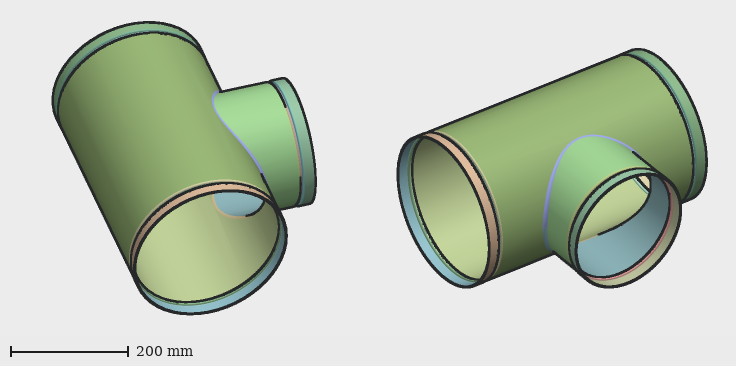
import cadquery as cq
import math


wall = 2.05

main_length = 451.0
main_lip_diameter = 273.0
main_body_diameter = 272.0
main_groove_diameter = 265.2

overall_depth = 362.2
branch_lip_diameter = 219.2
branch_body_diameter = 217.5
branch_groove_diameter = 211.0
branch_reach = overall_depth - main_lip_diameter / 2

lip_length = 18.5
groove_end = 29.0
tight_bend = 1.0
wide_bend = tight_bend + wall

outer_blend = 6.0
inner_blend = outer_blend + wall


def groove_side(drop, shoulder_bend, floor_bend):
    """Shape of one groove side, made of a shoulder bend flowing into a floor bend.

    Returns its length along the pipe, and how far the point where the bends
    meet lies along the pipe from the shoulder and below it.
    """
    both_bends = shoulder_bend + floor_bend
    sweep = math.acos(1 - drop / both_bends)
    meet_along = shoulder_bend * math.sin(sweep)
    meet_below = shoulder_bend * (1 - math.cos(sweep))
    return both_bends * math.sin(sweep), meet_along, meet_below


def pipe_skin(length, diameters, depth, shoulder_bend, floor_bend):
    """Solid along +X inside the pipe skin lying `depth` below the outside, open end at x = 0."""
    lip_radius, groove_radius, body_radius = [diameter / 2 - depth for diameter in diameters]
    front_length, front_along, front_below = groove_side(
        lip_radius - groove_radius, shoulder_bend, floor_bend
    )
    back_length, back_along, back_below = groove_side(
        body_radius - groove_radius, shoulder_bend, floor_bend
    )
    profile = (
        cq.Workplane("XY")
        .lineTo(0, lip_radius)
        .lineTo(lip_length, lip_radius)
        .radiusArc((lip_length + front_along, lip_radius - front_below), shoulder_bend)
        .radiusArc((lip_length + front_length, groove_radius), -floor_bend)
        .lineTo(groove_end - back_length, groove_radius)
        .radiusArc((groove_end - back_along, body_radius - back_below), -floor_bend)
        .radiusArc((groove_end, body_radius), shoulder_bend)
        .lineTo(length, body_radius)
        .lineTo(length, 0)
        .close()
    )
    return profile.revolve(360, (0, 0, 0), (1, 0, 0))


def tee_skin(depth, shoulder_bend, floor_bend, blend):
    """Both pipes joined into one solid at the given depth, with the seam between them rounded."""
    main_diameters = (main_lip_diameter, main_groove_diameter, main_body_diameter)
    half_pipe = pipe_skin(main_length / 2, main_diameters, depth, shoulder_bend, floor_bend)
    half_pipe = half_pipe.translate((-main_length / 2, 0, 0))
    main_pipe = half_pipe.union(half_pipe.mirror("YZ")).clean()

    branch_diameters = (branch_lip_diameter, branch_groove_diameter, branch_body_diameter)
    branch_pipe = pipe_skin(branch_reach, branch_diameters, depth, shoulder_bend, floor_bend)
    branch_pipe = branch_pipe.rotate((0, 0, 0), (0, 0, 1), -90).translate((0, branch_reach, 0))

    tee = main_pipe.union(branch_pipe)
    seam_reach = branch_body_diameter / 2
    main_radius = main_body_diameter / 2
    seam_box = cq.selectors.BoxSelector(
        (-seam_reach, main_radius / 2, -seam_reach),
        (seam_reach, main_radius, seam_reach),
    )
    return tee.edges(seam_box).fillet(blend)


outer = tee_skin(0, wide_bend, tight_bend, outer_blend)
bore = tee_skin(wall, tight_bend, wide_bend, inner_blend)
result = outer.cut(bore)